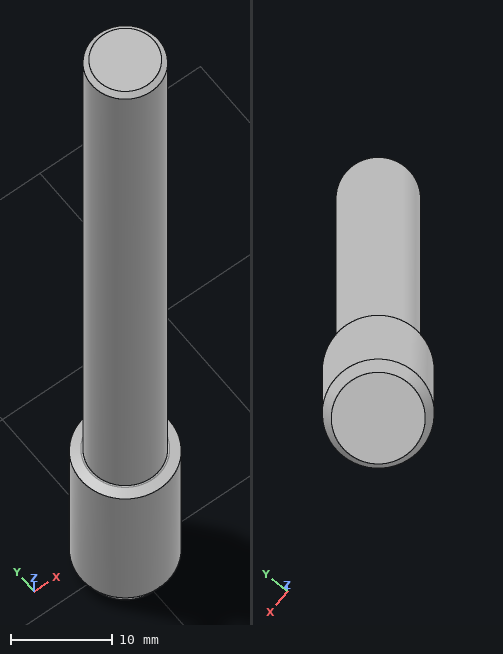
import cadquery as cq

TOTAL_LENGTH = 100.0

ROD_RADIUS = 4.2
ROD_CHAMFER_INSET = 0.6
ROD_CHAMFER_HEIGHT = 0.5

TIP_DIAMETER = 11.1
TIP_RADIUS = TIP_DIAMETER / 2
TIP_LENGTH = 22.1
TAPER_HEIGHT = 2.0
TAPER_INSET = 0.9
SHOULDER_DROP = 0.3

SEAT_MARGIN = 0.2
SEAT_RADIUS = ROD_RADIUS + SEAT_MARGIN


def make_rod():
    """Shaft standing on the seat of the tip."""
    return (
        cq.Workplane("XY")
        .workplane(offset=TIP_LENGTH)
        .circle(ROD_RADIUS)
        .extrude(TOTAL_LENGTH - TIP_LENGTH)
        .faces(">Z")
        .chamfer(ROD_CHAMFER_HEIGHT, ROD_CHAMFER_INSET)
    )


def make_tip():
    """Turned tip, its half section revolved about the Z axis."""
    return (
        cq.Workplane("XZ")
        .moveTo(0, 0)
        .lineTo(TIP_RADIUS - TAPER_INSET, 0)
        .lineTo(TIP_RADIUS, TAPER_HEIGHT)
        .lineTo(TIP_RADIUS, TIP_LENGTH - SHOULDER_DROP)
        .lineTo(SEAT_RADIUS, TIP_LENGTH)
        .lineTo(0, TIP_LENGTH)
        .close()
        .revolve(360, (0, 0, 0), (0, 1, 0))
    )


rod = make_rod()
tip = make_tip()
result = cq.Compound.makeCompound([rod.val(), tip.val()])